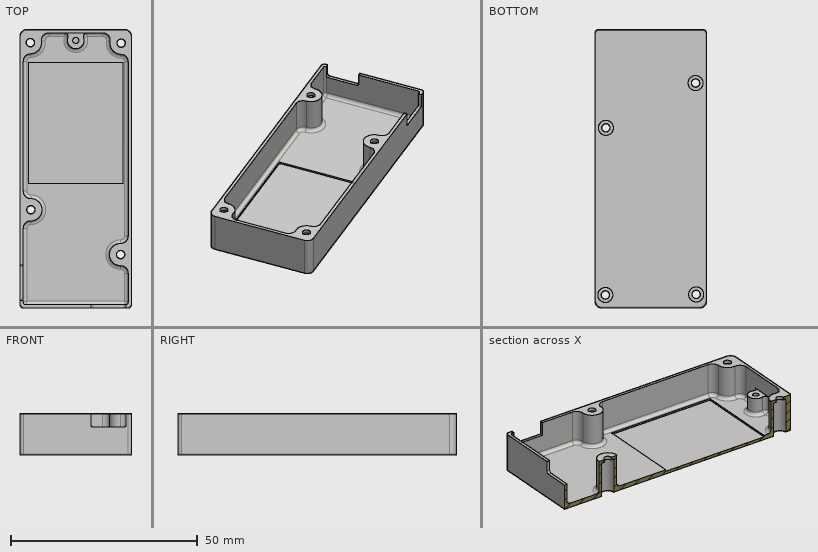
import cadquery as cq

WIDTH = 29.9
LENGTH = 74.65
HEIGHT = 11.1
BACK_CORNER_RADIUS = 1.9
FRONT_CORNER_RADIUS = 1.0
BASE_FILLET = 0.2

WALL = 0.9
FLOOR = 1.4
FLOOR_FILLET = 1.0
CAVITY_FRONT_RADIUS = 0.7

BOSS_RADIUS = 3.0
BOSS_BLEND_RADIUS = 2.0
SCREW_HOLE_DIAMETER = 2.2
SCREW_HEAD_DIAMETER = 4.0
SCREW_SEAT_THICKNESS = 1.0
BACK_BOSS_X = 12.2
FRONT_BOSS_X = 12.0
BOSS_CENTERS = [
    (-BACK_BOSS_X, 33.8),
    (BACK_BOSS_X, 33.7),
    (-FRONT_BOSS_X, -11.0),
    (FRONT_BOSS_X, -23.0),
]

POST_RADIUS = 2.25
POST_Y = 34.4
POST_TOP = 6.5
POST_BLEND_RADIUS = 1.0
POST_HOLE_DIAMETER = 1.65

RECESS_WIDTH = 25.45
RECESS_FRONT_Y = -3.95
RECESS_BACK_Y = 28.45
RECESS_DEPTH = 0.45

FRONT_NOTCH_LEFT_X = 4.0
FRONT_NOTCH_RIGHT_X = 13.5
FRONT_NOTCH_DEPTH = 3.6
FRONT_NOTCH_RADIUS = 0.6

SIDE_NOTCH_FRONT_Y = -35.2
SIDE_NOTCH_BACK_Y = -25.8
SIDE_NOTCH_DEPTH = 3.9
SIDE_NOTCH_RADIUS = 0.2

CAVITY_BACK_Y = LENGTH / 2 - WALL
CUT_MARGIN = 0.75
TOLERANCE = 0.01


def box_between(x_min, x_max, y_min, y_max, z_min, z_max):
    """Axis-aligned box given by its limits."""
    size = (x_max - x_min, y_max - y_min, z_max - z_min)
    return cq.Workplane("XY").box(*size, centered=False).translate((x_min, y_min, z_min))


def cylinder(x, y, radius, z_min, z_max):
    """Upright cylinder."""
    return cq.Workplane("XY", origin=(x, y, z_min)).circle(radius).extrude(z_max - z_min)


def make_body():
    body = cq.Workplane("XY").box(WIDTH, LENGTH, HEIGHT, centered=(True, True, False))
    body = body.edges("|Z and >Y").fillet(BACK_CORNER_RADIUS)
    body = body.edges("|Z and <Y").fillet(FRONT_CORNER_RADIUS)
    return body.faces("<Z").edges().fillet(BASE_FILLET)


def make_cavity():
    """Space inside the walls, flowing around the bosses and the post."""
    half_width = WIDTH / 2 - WALL
    cavity = box_between(-half_width, half_width, -CAVITY_BACK_Y, CAVITY_BACK_Y, FLOOR, HEIGHT)
    for x, y in BOSS_CENTERS:
        cavity = cavity.cut(cylinder(x, y, BOSS_RADIUS, FLOOR, HEIGHT))
        if y + BOSS_RADIUS > CAVITY_BACK_Y:
            outer_x = half_width if x > 0 else -half_width
            corner = box_between(min(x, outer_x), max(x, outer_x), y, CAVITY_BACK_Y, FLOOR, HEIGHT)
            cavity = cavity.cut(corner)
    cavity = cavity.edges("|Z and <Y").fillet(CAVITY_FRONT_RADIUS)
    cavity = cavity.edges("|Z").filter(is_boss_corner).fillet(BOSS_BLEND_RADIUS)
    cavity = cavity.cut(cylinder(0, POST_Y, POST_RADIUS, FLOOR, HEIGHT))
    cavity = cavity.edges("|Z").filter(is_post_corner).fillet(POST_BLEND_RADIUS)
    cavity = cavity.faces("<Z").edges().fillet(FLOOR_FILLET)
    above_post = box_between(
        -POST_RADIUS - POST_BLEND_RADIUS,
        POST_RADIUS + POST_BLEND_RADIUS,
        POST_Y - POST_RADIUS,
        CAVITY_BACK_Y,
        POST_TOP,
        HEIGHT,
    )
    return cavity.union(above_post)


def is_boss_corner(edge):
    """Upright edge where a boss meets a side wall or the back wall."""
    center = edge.Center()
    on_back_wall = abs(center.y - CAVITY_BACK_Y) < TOLERANCE
    on_side_wall = abs(abs(center.x) - (WIDTH / 2 - WALL)) < TOLERANCE
    return on_back_wall or (on_side_wall and center.y > -CAVITY_BACK_Y + BOSS_RADIUS)


def is_post_corner(edge):
    """Upright edge where the post meets the back wall."""
    center = edge.Center()
    return abs(center.y - CAVITY_BACK_Y) < TOLERANCE and abs(center.x) < POST_RADIUS


def make_front_notch():
    notch = box_between(
        FRONT_NOTCH_LEFT_X,
        FRONT_NOTCH_RIGHT_X,
        -LENGTH / 2 - CUT_MARGIN,
        -CAVITY_BACK_Y + CAVITY_FRONT_RADIUS,
        HEIGHT - FRONT_NOTCH_DEPTH,
        HEIGHT,
    )
    return notch.edges("|Y and <Z").fillet(FRONT_NOTCH_RADIUS)


def make_side_notch():
    notch = box_between(
        -WIDTH / 2 - CUT_MARGIN,
        -WIDTH / 2 + WALL + CAVITY_FRONT_RADIUS,
        SIDE_NOTCH_FRONT_Y,
        SIDE_NOTCH_BACK_Y,
        HEIGHT - SIDE_NOTCH_DEPTH,
        HEIGHT,
    )
    return notch.edges("|X and <Z").fillet(SIDE_NOTCH_RADIUS)


def make_recess():
    half_width = RECESS_WIDTH / 2
    return box_between(
        -half_width, half_width, RECESS_FRONT_Y, RECESS_BACK_Y, FLOOR - RECESS_DEPTH, FLOOR
    )


def make_post_hole():
    """Blind pilot hole down to the floor level."""
    return cylinder(0, POST_Y, POST_HOLE_DIAMETER / 2, FLOOR, POST_TOP)


def make_screw_hole(x, y):
    """Through hole with a screw head bore rising from the base to the seat near the rim."""
    shank = cylinder(x, y, SCREW_HOLE_DIAMETER / 2, 0, HEIGHT)
    head_bore = cylinder(x, y, SCREW_HEAD_DIAMETER / 2, 0, HEIGHT - SCREW_SEAT_THICKNESS)
    return shank.union(head_bore)


result = make_body().cut(make_cavity()).cut(make_recess())
result = result.cut(make_front_notch()).cut(make_side_notch()).cut(make_post_hole())
for boss_x, boss_y in BOSS_CENTERS:
    result = result.cut(make_screw_hole(boss_x, boss_y))